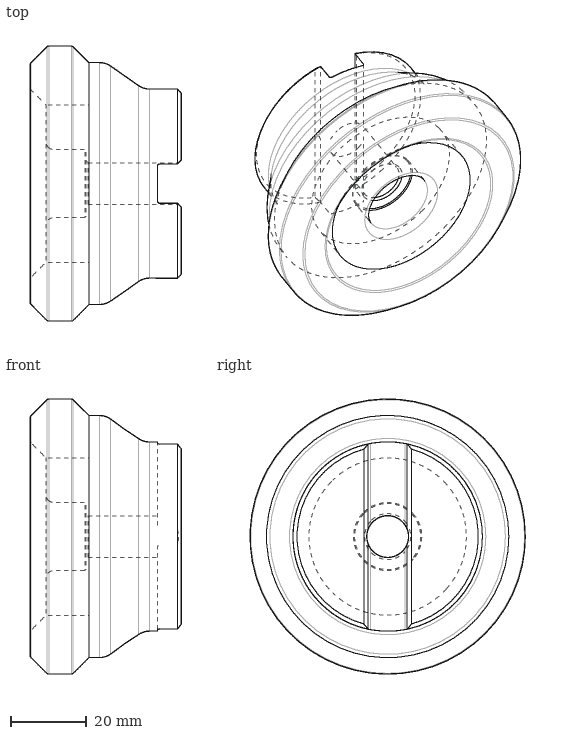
import cadquery as cq
import math

LENGTH = 40.0

RING_RADIUS = 36.35
RING_WIDTH = 15.55
FRONT_BEVEL = 4.65
EDGE_ROUND = 0.7
DISH_MOUTH_RADIUS = 50.0 / 2
DISH_DEPTH = 4.2
SEAT_RADIUS = DISH_MOUTH_RADIUS - DISH_DEPTH

FLANGE_RADIUS = 64.0 / 2
NECK_RADIUS = DISH_MOUTH_RADIUS
REAR_BEVEL = RING_RADIUS - FLANGE_RADIUS
FLANGE_END = 18.4
TAPER_ANGLE = math.radians(35)
BLEND_RADIUS = 5.0
END_BEVEL = 1.1

BORE_RADIUS = 18.0 / 2
MOUTH_RADIUS = 22.0 / 2
MOUTH_ROUND = MOUTH_RADIUS - BORE_RADIUS
BORE_FLOOR = 14.75
BORE_FLOOR_BEVEL = 0.3
HOLE_RADIUS = 11.0 / 2
HOLE_BEVEL = 0.6

SLOT_WIDTH = 10.3
SLOT_DEPTH = 6.3
SLOT_CORNER_ROUND = 0.6


def revolve_about_x(profile):
    return profile.close().revolve(360, (0, 0, 0), (1, 0, 0))


def make_ring():
    profile = (
        cq.Workplane("XY")
        .moveTo(0, DISH_MOUTH_RADIUS)
        .lineTo(0, RING_RADIUS - FRONT_BEVEL)
        .lineTo(FRONT_BEVEL, RING_RADIUS)
        .lineTo(RING_WIDTH - REAR_BEVEL, RING_RADIUS)
        .lineTo(RING_WIDTH, FLANGE_RADIUS)
        .lineTo(RING_WIDTH, SEAT_RADIUS)
        .lineTo(DISH_DEPTH, SEAT_RADIUS)
    )
    ring = revolve_about_x(profile)

    rounded_edges = (
        (0, DISH_MOUTH_RADIUS),
        (0, RING_RADIUS - FRONT_BEVEL),
        (FRONT_BEVEL, RING_RADIUS),
        (RING_WIDTH - REAR_BEVEL, RING_RADIUS),
    )
    edges = cq.Workplane("XY")
    for x, radius in rounded_edges:
        margin = EDGE_ROUND / 4
        edges = edges.add(ring.edges(cq.selectors.BoxSelector(
            (x - margin, -radius - margin, -radius - margin),
            (x + margin, radius + margin, radius + margin),
            boundingbox=True,
        )).edges(cq.selectors.RadiusNthSelector(-1)))
    return ring.newObject([ring.val().fillet(EDGE_ROUND, edges.vals())])


def make_hub_blank():
    blend_length = BLEND_RADIUS * math.sin(TAPER_ANGLE)
    blend_drop = BLEND_RADIUS * (1 - math.cos(TAPER_ANGLE))
    half_length = BLEND_RADIUS * math.sin(TAPER_ANGLE / 2)
    half_drop = BLEND_RADIUS * (1 - math.cos(TAPER_ANGLE / 2))
    taper_drop = FLANGE_RADIUS - NECK_RADIUS - 2 * blend_drop
    taper_start = FLANGE_END + blend_length
    taper_end = taper_start + taper_drop / math.tan(TAPER_ANGLE)
    neck_start = taper_end + blend_length

    profile = (
        cq.Workplane("XY")
        .moveTo(DISH_DEPTH, 0)
        .lineTo(DISH_DEPTH, SEAT_RADIUS)
        .lineTo(RING_WIDTH, SEAT_RADIUS)
        .lineTo(RING_WIDTH, FLANGE_RADIUS)
        .lineTo(FLANGE_END, FLANGE_RADIUS)
        .threePointArc(
            (FLANGE_END + half_length, FLANGE_RADIUS - half_drop),
            (taper_start, FLANGE_RADIUS - blend_drop),
        )
        .lineTo(taper_end, NECK_RADIUS + blend_drop)
        .threePointArc(
            (neck_start - half_length, NECK_RADIUS + half_drop),
            (neck_start, NECK_RADIUS),
        )
        .lineTo(LENGTH, NECK_RADIUS)
        .lineTo(LENGTH, 0)
    )
    return revolve_about_x(profile)


def make_bore():
    mouth_end = DISH_DEPTH + MOUTH_ROUND
    arc_offset = MOUTH_ROUND * math.sqrt(0.5)
    profile = (
        cq.Workplane("XY")
        .moveTo(DISH_DEPTH, 0)
        .lineTo(DISH_DEPTH, MOUTH_RADIUS)
        .threePointArc(
            (mouth_end - arc_offset, MOUTH_RADIUS - arc_offset),
            (mouth_end, BORE_RADIUS),
        )
        .lineTo(BORE_FLOOR - BORE_FLOOR_BEVEL, BORE_RADIUS)
        .lineTo(BORE_FLOOR, BORE_RADIUS - BORE_FLOOR_BEVEL)
        .lineTo(BORE_FLOOR, HOLE_RADIUS + HOLE_BEVEL)
        .lineTo(BORE_FLOOR + HOLE_BEVEL, HOLE_RADIUS)
        .lineTo(LENGTH, HOLE_RADIUS)
        .lineTo(LENGTH, 0)
    )
    return revolve_about_x(profile)


def make_slot():
    return (
        cq.Workplane("XY")
        .box(SLOT_DEPTH, SLOT_WIDTH, 2 * RING_RADIUS)
        .translate((LENGTH - SLOT_DEPTH / 2, 0, 0))
        .edges("|Z and <X")
        .fillet(SLOT_CORNER_ROUND)
    )


def make_hub():
    slotted = make_hub_blank().cut(make_slot())
    beveled = slotted.faces(">X").edges().chamfer(END_BEVEL)
    return beveled.cut(make_bore())


ring = make_ring()
hub = make_hub()

result = cq.Compound.makeCompound([ring.val(), hub.val()])